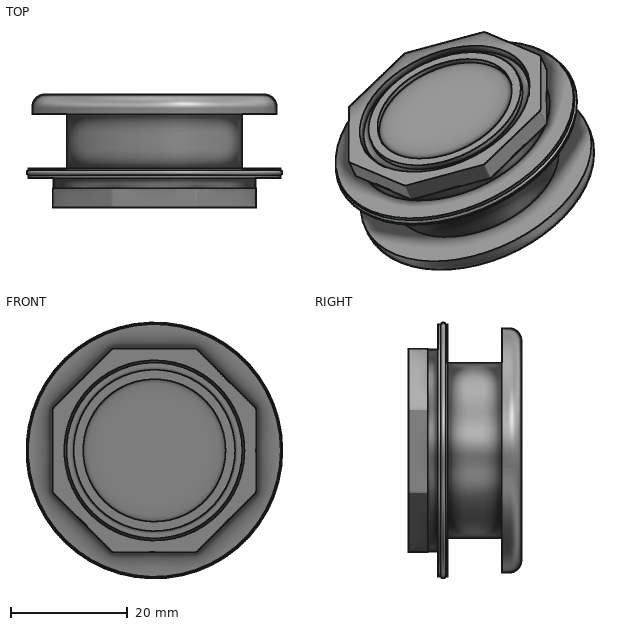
import cadquery as cq
import math


nut_head_depth = 3.3
collar_back = 5.05
washer_back = 6.72
cap_front = 16.05
cap_back = 19.4
shoulder_y = 0.95

cap_radius = 21.0
cap_round = 2.25
barrel_radius = 15.05
boss_radius = 13.85
recess_radius = 12.2
recess_depth = 0.9

washer_radius = 21.65
bead_radius = 21.95
bead_center_y = 5.98
bead_half_width = 0.4

nut_sides = 8
nut_across_flats = 34.9
nut_corner_round = 0.65
collar_radius = 17.35
nut_bore_radius = 15.45


def disc(radius, front, back):
    """Solid cylinder on the Y axis between two Y stations."""
    return cq.Workplane("XZ", origin=(0, front, 0)).circle(radius).extrude(front - back)


def make_plug():
    cap = disc(cap_radius, cap_front, cap_back).faces(">Y").edges().fillet(cap_round)
    barrel = disc(barrel_radius, shoulder_y, cap_front)
    boss = disc(boss_radius, 0, shoulder_y)
    recess = disc(recess_radius, 0, recess_depth)
    return cap.union(barrel).union(boss).cut(recess)


def make_washer():
    return (
        cq.Workplane("XY")
        .moveTo(barrel_radius, collar_back)
        .lineTo(washer_radius, collar_back)
        .lineTo(washer_radius, bead_center_y - bead_half_width)
        .threePointArc(
            (bead_radius, bead_center_y),
            (washer_radius, bead_center_y + bead_half_width),
        )
        .lineTo(washer_radius, washer_back)
        .lineTo(barrel_radius, washer_back)
        .close()
        .revolve(360, (0, 0, 0), (0, 1, 0))
    )


def make_nut():
    half_side_angle = math.pi / nut_sides
    corner_radius = nut_across_flats / 2 / math.cos(half_side_angle)
    corner_angles = [(2 * i + 1) * half_side_angle for i in range(nut_sides)]
    corners = [(corner_radius * math.cos(a), corner_radius * math.sin(a)) for a in corner_angles]
    head = cq.Workplane("XZ").polyline(corners).close().extrude(-nut_head_depth)
    head = head.edges("|Y").fillet(nut_corner_round)
    collar = disc(collar_radius, nut_head_depth, collar_back)
    bore = disc(nut_bore_radius, 0, collar_back)
    return head.union(collar).cut(bore)


plug = make_plug()
washer = make_washer()
nut = make_nut()

result = cq.Compound.makeCompound([plug.val(), washer.val(), nut.val()])